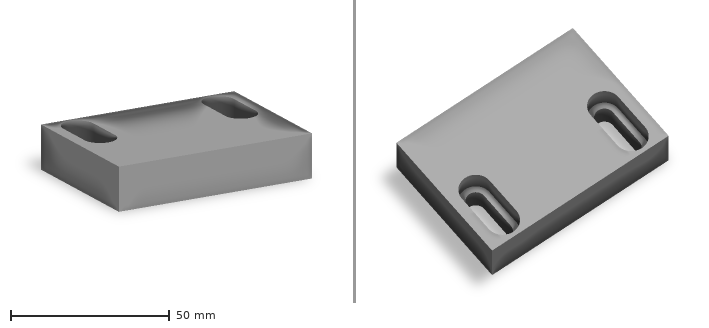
import cadquery as cq

width = 50.0
length = 70.0
thickness = 15.0

slot_travel = 14.0
slot_width = 6.6
recess_width = 11.0
recess_depth = 7.0
slot_inset = 14.0
slot_spacing = 51.0


def slot_cutter(cut_width, depth):
    """Two round-ended slots cut down from the top face."""
    slot_x = slot_inset - width / 2
    centres = [(slot_x, side * slot_spacing / 2) for side in (-1, 1)]
    return (
        cq.Workplane("XY")
        .workplane(offset=thickness)
        .pushPoints(centres)
        .slot2D(slot_travel + cut_width, cut_width)
        .extrude(-depth)
    )


plate = cq.Workplane("XY").box(width, length, thickness, centered=(True, True, False))
through_slots = slot_cutter(slot_width, thickness)
recesses = slot_cutter(recess_width, recess_depth)

result = plate.cut(through_slots).cut(recesses)